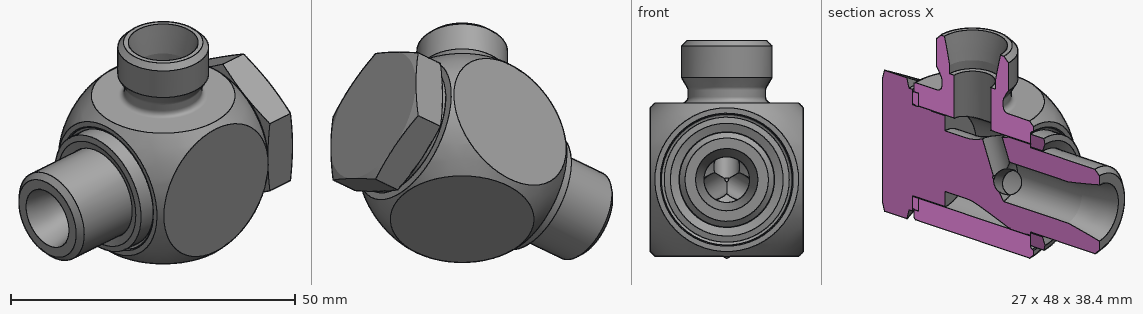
import cadquery as cq
import math


block_width = 27.0
block_front = -block_width / 2
block_back = 12.95
corner_sphere_radius = 18.5
housing_bore_diameter = 18.0
recess_diameter = 23.0
recess_chamfer = 0.2
recess_fillet = 0.5
front_recess_depth = recess_chamfer + recess_fillet
back_recess_depth = 1.0

stub_top = 24.5
stub_diameter = 16.0
stub_thread_length = 6.5
stub_chamfer = 1.0
neck_diameter = 13.7
neck_fillet = 1.0
neck_cone_angle = 30
stub_bore_diameter = 8.0
tube_socket_diameter = 10.0
tube_socket_mouth_diameter = 12.3
tube_socket_depth = 7.0
socket_cone_angle = 12

bolt_tip = -28.05
bolt_tip_chamfer = 1.0
stem_diameter = 16.65
shoulder_diameter = 17.95
groove_diameter = 12.0
groove_back = 6.0
groove_arc_start = 1.55
groove_arc_radius = 8.0
groove_cone_angle = 20
collar_diameter = 24.0
collar_front = 13.25
head_front = 13.95
head_back = 19.95
hex_across_flats = 24.0
hex_sides = 6
hex_chamfer_angle = 15
bolt_bore_diameter = 8.0
bolt_mouth_diameter = 10.95
bolt_bore_end = -6.85
drill_point_angle = 59
cross_hole_diameter = 4.5
cross_hole_count = 3
cross_hole_position = -7.15

front_ring_diameter = 22.0
front_ring_bore = 16.8
front_ring_edge = -15.8
front_ring_lip_diameter = 19.8
lip_outer_angle = 13
lip_inner_angle = 20


def tan_degrees(angle):
    return math.tan(math.radians(angle))


def sin_degrees(angle):
    return math.sin(math.radians(angle))


def cos_degrees(angle):
    return math.cos(math.radians(angle))


def cylinder_along_y(diameter, start, end):
    """A solid cylinder on the Y axis between two Y positions."""
    plane = cq.Workplane("XZ", origin=(0, start, 0))
    return plane.circle(diameter / 2).extrude(start - end)


def turned(profile):
    """Turn a closed profile, drawn as radius and axial position, around its axis."""
    return profile.close().revolve(360, (0, 0, 0), (0, 1, 0))


def make_block():
    block = cq.Workplane("XY").box(block_width, block_back - block_front, block_width)
    block = block.translate((0, (block_back + block_front) / 2, 0))
    return block.intersect(cq.Workplane("XY").sphere(corner_sphere_radius))


def make_stub():
    block_top = block_width / 2
    stub_radius = stub_diameter / 2
    neck_radius = neck_diameter / 2
    cone_top = stub_top - stub_thread_length

    cone_base = cone_top - (stub_radius - neck_radius) / tan_degrees(neck_cone_angle)
    arc_low = cone_base - neck_fillet * tan_degrees(neck_cone_angle / 2)
    arc_high = arc_low + neck_fillet * sin_degrees(neck_cone_angle)
    arc_high_radius = neck_radius + neck_fillet * (1 - cos_degrees(neck_cone_angle))
    arc_mid_height = arc_low + neck_fillet * sin_degrees(neck_cone_angle / 2)
    arc_mid_radius = neck_radius + neck_fillet * (1 - cos_degrees(neck_cone_angle / 2))

    foot_radius = neck_radius + neck_fillet
    foot_mid_radius = foot_radius - neck_fillet * cos_degrees(45)
    foot_mid_height = block_top + neck_fillet * (1 - sin_degrees(45))

    profile = (
        cq.Workplane("XZ")
        .moveTo(0, 0)
        .lineTo(neck_radius, 0)
        .lineTo(foot_radius, block_top)
        .threePointArc((foot_mid_radius, foot_mid_height), (neck_radius, block_top + neck_fillet))
        .lineTo(neck_radius, arc_low)
        .threePointArc((arc_mid_radius, arc_mid_height), (arc_high_radius, arc_high))
        .lineTo(stub_radius, cone_top)
        .lineTo(stub_radius, stub_top - stub_chamfer)
        .lineTo(stub_radius - stub_chamfer, stub_top)
        .lineTo(0, stub_top)
    )
    return turned(profile)


def make_stub_bore():
    """The through bore and the tapered socket that takes the tube."""
    bore_radius = stub_bore_diameter / 2
    socket_radius = tube_socket_diameter / 2
    mouth_radius = tube_socket_mouth_diameter / 2
    socket_floor = stub_top - tube_socket_depth
    cone_low = stub_top - (mouth_radius - socket_radius) / tan_degrees(socket_cone_angle)
    profile = (
        cq.Workplane("XZ")
        .moveTo(0, 0)
        .lineTo(bore_radius, 0)
        .lineTo(bore_radius, socket_floor)
        .lineTo(socket_radius, socket_floor)
        .lineTo(socket_radius, cone_low)
        .lineTo(mouth_radius, stub_top)
        .lineTo(0, stub_top)
    )
    return turned(profile)


def make_front_recess():
    """A shallow recess with a chamfered rim and a concave quarter circle down to the ring seat."""
    rim_end = block_front + recess_chamfer
    floor = block_front + front_recess_depth
    wall_radius = recess_diameter / 2
    seat_radius = wall_radius - recess_fillet
    mid_radius = seat_radius + recess_fillet * cos_degrees(45)
    mid_position = rim_end + recess_fillet * sin_degrees(45)
    profile = (
        cq.Workplane("XY")
        .moveTo(0, block_front)
        .lineTo(wall_radius + recess_chamfer, block_front)
        .lineTo(wall_radius, rim_end)
        .threePointArc((mid_radius, mid_position), (seat_radius, floor))
        .lineTo(0, floor)
    )
    return turned(profile)


def make_housing():
    housing = make_block().union(make_stub())
    housing = housing.cut(make_stub_bore())
    housing = housing.cut(cylinder_along_y(housing_bore_diameter, block_front, block_back))
    housing = housing.cut(make_front_recess())
    return housing.cut(cylinder_along_y(recess_diameter, block_back - back_recess_depth, block_back))


def make_bolt_shank():
    """Stem, flow groove, shoulder and collar, turned in one piece."""
    stem_radius = stem_diameter / 2
    shoulder_radius = shoulder_diameter / 2
    groove_radius = groove_diameter / 2
    shoulder_front = block_front + front_recess_depth

    arc_end = groove_arc_start - groove_arc_radius * sin_degrees(groove_cone_angle)
    arc_end_radius = groove_radius + groove_arc_radius * (1 - cos_degrees(groove_cone_angle))
    arc_mid = groove_arc_start - groove_arc_radius * sin_degrees(groove_cone_angle / 2)
    arc_mid_radius = groove_radius + groove_arc_radius * (1 - cos_degrees(groove_cone_angle / 2))
    cone_end = arc_end - (shoulder_radius - arc_end_radius) / tan_degrees(groove_cone_angle)

    profile = (
        cq.Workplane("XY")
        .moveTo(0, bolt_tip)
        .lineTo(stem_radius - bolt_tip_chamfer, bolt_tip)
        .lineTo(stem_radius, bolt_tip + bolt_tip_chamfer)
        .lineTo(stem_radius, shoulder_front)
        .lineTo(shoulder_radius, shoulder_front)
        .lineTo(shoulder_radius, cone_end)
        .lineTo(arc_end_radius, arc_end)
        .threePointArc((arc_mid_radius, arc_mid), (groove_radius, groove_arc_start))
        .lineTo(groove_radius, groove_back)
        .lineTo(shoulder_radius, groove_back)
        .lineTo(shoulder_radius, collar_front)
        .lineTo(collar_diameter / 2, collar_front)
        .lineTo(collar_diameter / 2, head_front)
        .lineTo(0, head_front)
    )
    return turned(profile)


def make_bolt_head():
    """A hexagon with two corners on Z, its corners chamfered at both ends."""
    half_side_angle = 180 / hex_sides
    inscribed_radius = hex_across_flats / 2
    corner_radius = inscribed_radius / cos_degrees(half_side_angle)
    chamfer_depth = (corner_radius - inscribed_radius) * tan_degrees(hex_chamfer_angle)
    hexagon = (
        cq.Workplane("XZ", origin=(0, head_front, 0))
        .polygon(hex_sides, 2 * corner_radius)
        .extrude(head_front - head_back)
        .rotate((0, 0, 0), (0, 1, 0), half_side_angle)
    )
    chamfer_profile = (
        cq.Workplane("XY")
        .moveTo(0, head_front)
        .lineTo(inscribed_radius, head_front)
        .lineTo(corner_radius, head_front + chamfer_depth)
        .lineTo(corner_radius, head_back - chamfer_depth)
        .lineTo(inscribed_radius, head_back)
        .lineTo(0, head_back)
    )
    return hexagon.intersect(turned(chamfer_profile))


def make_bolt_bore():
    """Blind bore with a tapered mouth and a conical drill point."""
    bore_radius = bolt_bore_diameter / 2
    mouth_radius = bolt_mouth_diameter / 2
    mouth_end = bolt_tip + (mouth_radius - bore_radius) / tan_degrees(socket_cone_angle)
    drill_point = bolt_bore_end + bore_radius / tan_degrees(drill_point_angle)
    profile = (
        cq.Workplane("XY")
        .moveTo(0, bolt_tip)
        .lineTo(mouth_radius, bolt_tip)
        .lineTo(bore_radius, mouth_end)
        .lineTo(bore_radius, bolt_bore_end)
        .lineTo(0, drill_point)
    )
    return turned(profile)


def make_cross_hole(angle):
    """A hole from the bolt axis out through the groove cone, square to the cone's surface."""
    hole = cq.Workplane("XY").circle(cross_hole_diameter / 2).extrude(shoulder_diameter)
    hole = hole.rotate((0, 0, 0), (1, 0, 0), -groove_cone_angle)
    hole = hole.translate((0, cross_hole_position, 0))
    return hole.rotate((0, 0, 0), (0, 1, 0), angle)


def make_bolt():
    bolt = make_bolt_shank().union(make_bolt_head()).cut(make_bolt_bore())
    for index in range(cross_hole_count):
        bolt = bolt.cut(make_cross_hole(index * 360 / cross_hole_count))
    return bolt


def make_front_ring():
    """A ring with a sharp annular lip on its front face."""
    outer_radius = front_ring_diameter / 2
    bore_radius = front_ring_bore / 2
    lip_radius = front_ring_lip_diameter / 2
    seat = block_front + front_recess_depth
    lip_tip = front_ring_edge - (outer_radius - lip_radius) * tan_degrees(lip_outer_angle)
    bore_front = lip_tip + (lip_radius - bore_radius) * tan_degrees(lip_inner_angle)
    profile = (
        cq.Workplane("XY")
        .moveTo(bore_radius, seat)
        .lineTo(outer_radius, seat)
        .lineTo(outer_radius, front_ring_edge)
        .lineTo(lip_radius, lip_tip)
        .lineTo(bore_radius, bore_front)
    )
    return turned(profile)


def make_back_ring():
    """A plain ring between the bolt collar and the back recess of the housing."""
    seat = block_back - back_recess_depth
    ring = cylinder_along_y(recess_diameter, seat, collar_front)
    return ring.cut(cylinder_along_y(housing_bore_diameter, seat, collar_front))


housing = make_housing()
bolt = make_bolt()
front_ring = make_front_ring()
back_ring = make_back_ring()

result = cq.Compound.makeCompound([housing.val(), bolt.val(), front_ring.val(), back_ring.val()])